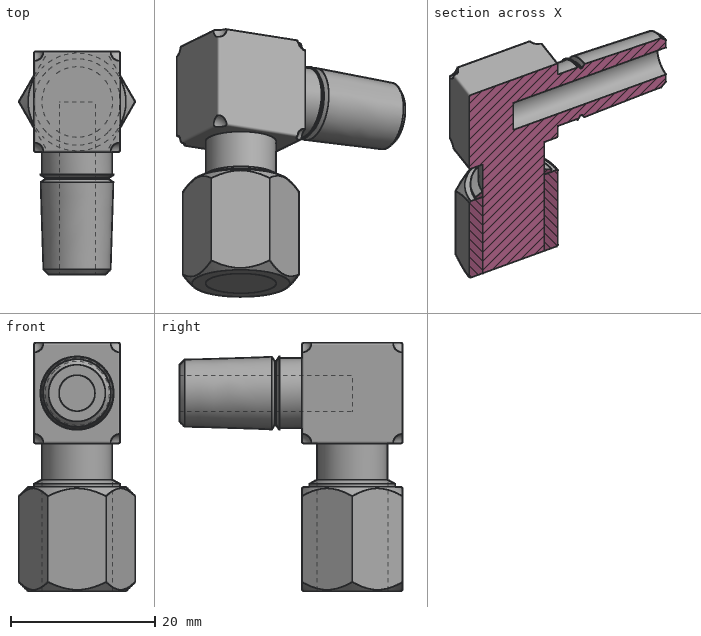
import cadquery as cq
import math


block_width = 12.0
block_side = 14.0
block_face = block_side / 2
edge_radius = 0.33
corner_scoop_radius = 1.35

pipe_radius = 4.9
stub_tip = 24.0
stub_plain_length = 3.05
taper_start = block_face + stub_plain_length
taper_per_length = 1 / 32
taper_radius = 5.1
tip_chamfer = 0.75
groove_width = 1.0
groove_depth = 0.65
groove_floor_width = 0.2
groove_start = taper_start + 0.1
bore_radius = 2.5
bore_depth = stub_tip

nut_across_flats = 14.0
nut_height = 14.5
nut_across_corners = nut_across_flats / math.cos(math.pi / 6)
nut_chamfer = 1.3
nut_bottom = -27.5
nut_top = nut_bottom + nut_height

collar_radius = 6.0
collar_height = 1.0
collar_rim_height = 0.4


def taper_radius_at(distance):
    return taper_radius - (distance - taper_start) * taper_per_length


def make_block():
    block = cq.Workplane("XY").box(block_width, block_side, block_side)
    block = block.edges().fillet(edge_radius)
    corners = [
        (x * block_width / 2, y * block_face, z * block_face)
        for x in (-1, 1)
        for y in (-1, 1)
        for z in (-1, 1)
    ]
    for corner in corners:
        block = block.cut(cq.Workplane("XY").sphere(corner_scoop_radius).translate(corner))
    return block


def make_stub():
    groove_end = groove_start + groove_width
    flank_width = (groove_width - groove_floor_width) / 2
    groove_radius = taper_radius - groove_depth
    taper_end = stub_tip - tip_chamfer
    taper_end_radius = taper_radius_at(taper_end)
    profile = (
        cq.Workplane("XY")
        .moveTo(0, 0)
        .lineTo(pipe_radius, 0)
        .lineTo(pipe_radius, -taper_start)
        .lineTo(taper_radius, -taper_start)
        .lineTo(taper_radius_at(groove_start), -groove_start)
        .lineTo(groove_radius, -(groove_start + flank_width))
        .lineTo(groove_radius, -(groove_end - flank_width))
        .lineTo(taper_radius_at(groove_end), -groove_end)
        .lineTo(taper_end_radius, -taper_end)
        .lineTo(taper_end_radius - tip_chamfer, -stub_tip)
        .lineTo(0, -stub_tip)
        .close()
    )
    return profile.revolve(360, (0, 0, 0), (0, 1, 0))


def make_neck():
    return cq.Workplane("XY").circle(pipe_radius).extrude(nut_bottom)


def make_elbow():
    bore = (
        cq.Workplane("XZ", origin=(0, -stub_tip, 0))
        .circle(bore_radius)
        .extrude(-bore_depth)
    )
    return make_block().union(make_stub()).union(make_neck()).cut(bore)


def make_nut():
    hexagon = (
        cq.Workplane("XY", origin=(0, 0, nut_bottom))
        .polygon(6, nut_across_corners)
        .extrude(nut_height)
    )
    corner_cone = (
        cq.Workplane("XY", origin=(0, 0, nut_bottom))
        .circle(nut_across_corners / 2)
        .extrude(nut_height)
        .edges()
        .chamfer(nut_chamfer)
    )
    neck_hole = (
        cq.Workplane("XY", origin=(0, 0, nut_bottom))
        .circle(pipe_radius)
        .extrude(nut_height)
    )
    return hexagon.intersect(corner_cone).cut(neck_hole)


def make_collar():
    profile = (
        cq.Workplane("XZ")
        .moveTo(pipe_radius, nut_top)
        .lineTo(collar_radius, nut_top)
        .lineTo(collar_radius, nut_top + collar_rim_height)
        .lineTo(pipe_radius, nut_top + collar_height)
        .close()
    )
    return profile.revolve(360, (0, 0, 0), (0, 1, 0))


elbow = make_elbow()
nut = make_nut()
collar = make_collar()

result = cq.Compound.makeCompound([elbow.val(), nut.val(), collar.val()])